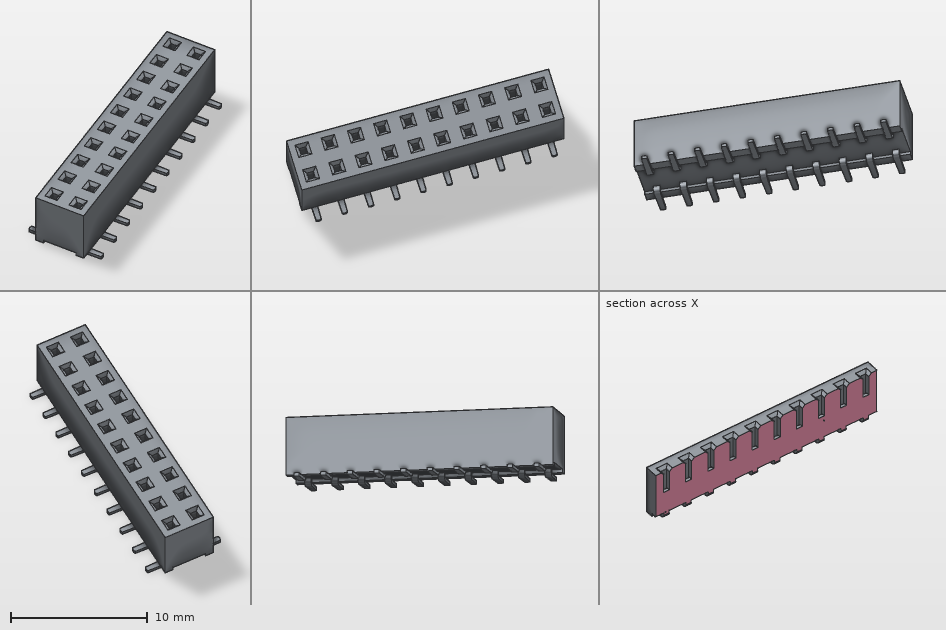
import cadquery as cq


pitch = 2.0
contacts_per_row = 10
row_x = pitch / 2

housing_width = 4.0
housing_length = contacts_per_row * pitch
housing_top = 4.6
housing_bottom = 0.3
channel_width = 2.7
channel_ceiling = 0.55

socket_mouth = 1.0
socket_throat = 0.5
funnel_depth = 0.25
socket_depth = 2.5

contact_thickness = 0.25
contact_width = 0.5
tip_width = 0.4
tip_bulge = 0.06
contact_span = 6.1
stub_height = 0.5
contact_top = housing_top - socket_depth + stub_height
bend_inner_radius = 0.125
bend_outer_radius = bend_inner_radius + contact_thickness
tip_x = contact_span / 2
post_inner_x = row_x - contact_thickness / 2
post_outer_x = row_x + contact_thickness / 2
foot_start_x = post_outer_x + bend_inner_radius


def contact_centres():
    """Y positions of the contacts along a row."""
    first_y = -(contacts_per_row - 1) * pitch / 2
    return [first_y + i * pitch for i in range(contacts_per_row)]


def make_housing():
    """Block with a full-length channel along its underside."""
    block = (
        cq.Workplane("XY", origin=(0, 0, housing_bottom))
        .rect(housing_width, housing_length)
        .extrude(housing_top - housing_bottom)
    )
    channel = (
        cq.Workplane("XY", origin=(0, 0, housing_bottom))
        .rect(channel_width, housing_length)
        .extrude(channel_ceiling - housing_bottom)
    )
    return block.cut(channel)


def make_socket():
    """Cutter for one socket at X = Y = 0: a square funnel above a square shaft."""
    funnel = (
        cq.Workplane("XY", origin=(0, 0, housing_top))
        .rect(socket_mouth, socket_mouth)
        .workplane(offset=-funnel_depth)
        .rect(socket_throat, socket_throat)
        .loft(ruled=True)
    )
    shaft = (
        cq.Workplane("XY", origin=(0, 0, housing_top))
        .rect(socket_throat, socket_throat)
        .extrude(-socket_depth)
    )
    return funnel.union(shaft)


def make_strip():
    """Side profile of a +X contact at Y = 0, swept to full width: post, bend and outward foot."""
    return (
        cq.Workplane("XZ")
        .moveTo(post_inner_x, contact_top)
        .lineTo(post_inner_x, bend_outer_radius)
        .radiusArc((foot_start_x, 0), -bend_outer_radius)
        .lineTo(tip_x, 0)
        .lineTo(tip_x, contact_thickness)
        .lineTo(foot_start_x, contact_thickness)
        .radiusArc((post_outer_x, bend_outer_radius), bend_inner_radius)
        .lineTo(post_outer_x, contact_top)
        .close()
        .extrude(contact_width / 2, both=True)
    )


def make_contact():
    """Contact of the +X row: the strip tapered outward from its post to a rounded tip."""
    corner_x = tip_x - tip_bulge
    plan = (
        cq.Workplane("XY")
        .moveTo(post_inner_x, -contact_width / 2)
        .lineTo(corner_x, -tip_width / 2)
        .threePointArc((tip_x, 0), (corner_x, tip_width / 2))
        .lineTo(post_inner_x, contact_width / 2)
        .close()
        .extrude(contact_top)
    )
    return make_strip().intersect(plan)


def build_part():
    """Housing with its sockets cut and both rows of contacts joined in."""
    socket = make_socket().val()
    right_contact = make_contact().val()
    left_contact = right_contact.mirror("YZ")
    sockets = []
    contacts = []
    for y in contact_centres():
        contacts.append(right_contact.translate(cq.Vector(0, y, 0)))
        contacts.append(left_contact.translate(cq.Vector(0, y, 0)))
        for x in (-row_x, row_x):
            sockets.append(socket.translate(cq.Vector(x, y, 0)))
    body = make_housing().val().cut(*sockets).fuse(*contacts)
    return cq.Workplane("XY").newObject(body.Solids())


result = build_part()